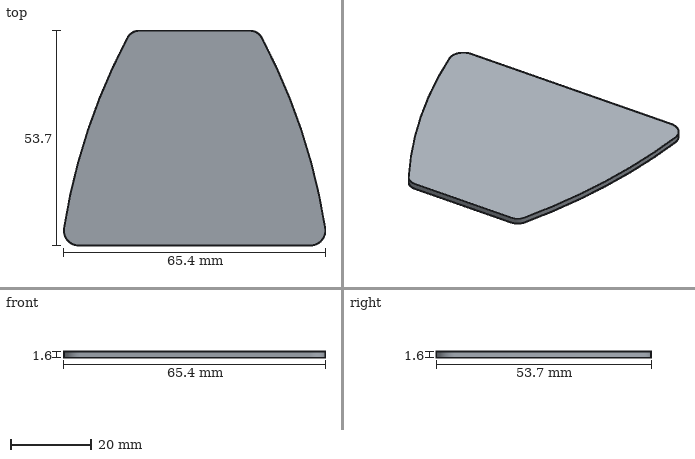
import cadquery as cq

depth = 53.7
thickness = 1.6
bottom_corner_radius = 3.8
top_corner_radius = 3.3
top_width = 31.65
mid_width = 54.7
bottom_width = 66.5

half_depth = depth / 2
sharp_plate = (
    cq.Workplane("XY")
    .moveTo(-bottom_width / 2, -half_depth)
    .lineTo(bottom_width / 2, -half_depth)
    .threePointArc((mid_width / 2, 0), (top_width / 2, half_depth))
    .lineTo(-top_width / 2, half_depth)
    .threePointArc((-mid_width / 2, 0), (-bottom_width / 2, -half_depth))
    .close()
    .extrude(thickness)
)

result = (
    sharp_plate
    .edges("|Z and <Y").fillet(bottom_corner_radius)
    .edges("|Z and >Y").fillet(top_corner_radius)
)